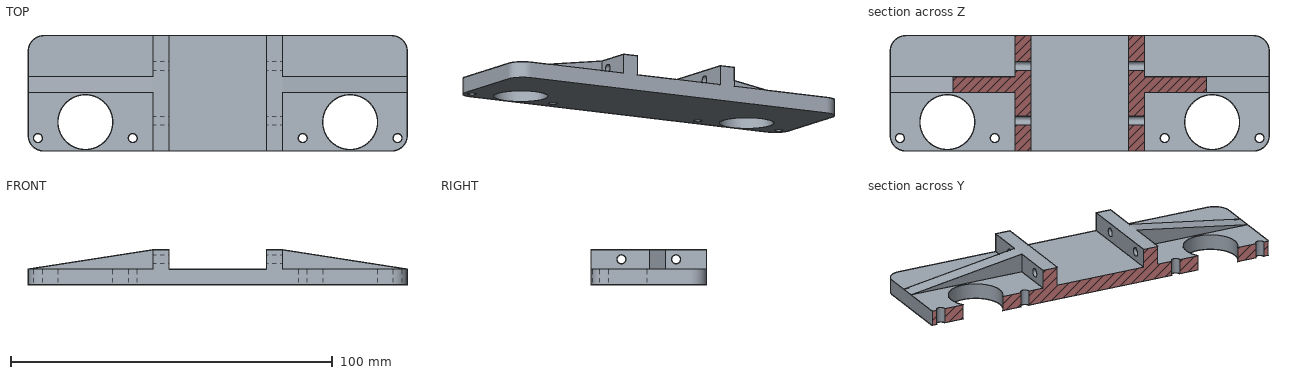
import cadquery as cq

length = 118.0
width = 36.0
plate_thickness = 5.0
corner_radius = 5.0

total_height = 11.0
wall_height = total_height - plate_thickness
wall_inner_x = 15.1
wall_thickness = 5.1
wall_outer_x = wall_inner_x + wall_thickness

rib_front_y = 0.2
rib_width = 5.0

large_hole_diameter = 17.0
large_hole_x = 41.2
large_hole_y = -9.0
small_hole_diameter = 2.7
mount_hole_spacing = 29.5
mount_hole_y = -13.9
wall_hole_y = 8.5
wall_hole_z = plate_thickness + wall_height / 2


def make_plate():
    plate = cq.Workplane("XY").box(length, width, plate_thickness, centered=(True, True, False))
    return plate.edges("|Z").fillet(corner_radius)


def make_wall(side):
    """Wall spanning the plate width; side is -1 or 1 along X."""
    return (
        cq.Workplane("XY", origin=(side * (wall_inner_x + wall_thickness / 2), 0, plate_thickness))
        .box(wall_thickness, width, wall_height, centered=(True, True, False))
    )


def make_rib(side):
    """Triangular rib from the top of a wall to the end of the plate."""
    return (
        cq.Workplane("XZ", origin=(0, rib_front_y, 0))
        .moveTo(side * wall_outer_x, plate_thickness)
        .lineTo(side * wall_outer_x, total_height)
        .lineTo(side * length / 2, plate_thickness)
        .close()
        .extrude(-rib_width)
    )


result = make_plate()
for side in (-1, 1):
    result = result.union(make_wall(side)).union(make_rib(side))

large_hole_points = [(side * large_hole_x, large_hole_y) for side in (-1, 1)]
mount_hole_points = [
    (side * large_hole_x + offset, mount_hole_y)
    for side in (-1, 1)
    for offset in (-mount_hole_spacing / 2, mount_hole_spacing / 2)
]
for points, diameter in (
    (large_hole_points, large_hole_diameter),
    (mount_hole_points, small_hole_diameter),
):
    cutter = cq.Workplane("XY").pushPoints(points).circle(diameter / 2).extrude(plate_thickness)
    result = result.cut(cutter)

wall_hole_cutter = (
    cq.Workplane("YZ", origin=(-wall_outer_x, 0, 0))
    .pushPoints([(-wall_hole_y, wall_hole_z), (wall_hole_y, wall_hole_z)])
    .circle(small_hole_diameter / 2)
    .extrude(2 * wall_outer_x)
)
result = result.cut(wall_hole_cutter)